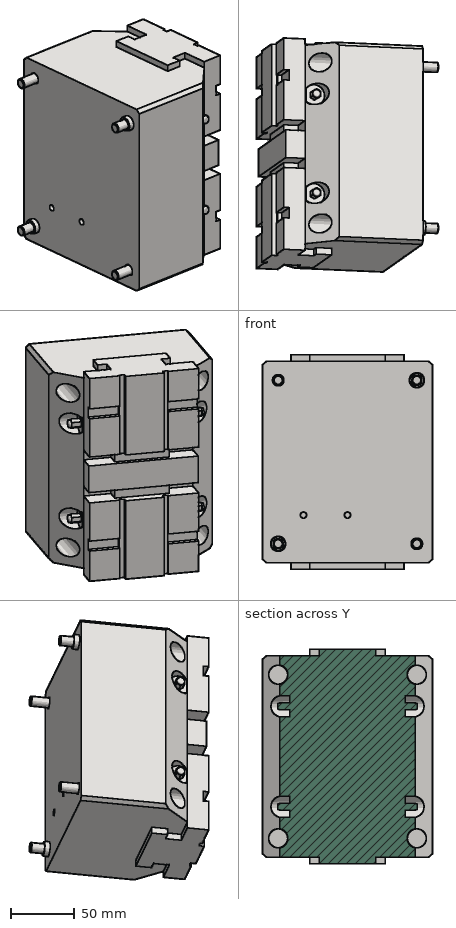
import cadquery as cq


body_width = 135.0
body_height = 160.0
body_depth = 91.0
rail_width = 90.0
flank_setback = (body_width - rail_width) / 2
corner_chamfer_x = 3.0
corner_chamfer_z = 2.9

overall_height = 170.4
back_y = 111.0
ridge_width = 31.7
ridge_height = 2.7
ridge_groove_width = 4.1
ridge_groove_depth = 1.5
neck_width = 45.0
foot_width = 60.0
foot_thickness = 12.8
neck_length = foot_thickness
rail_gap = 38.5
shoulder_y = back_y - ridge_height

notch_height = 8.3
notch_depth = 4.5
notch_z = 55.5

filler_y = 102.5
stop_y = 106.7
stop_height = 22.3

screw_x = 55.0
screw_z = 64.9
screw_diameter = 8.0
screw_length = 15.0
screw_tip_chamfer = 0.7
clearance_diameter = 9.0
clearance_depth = 15.0
head_bore_diameter = 15.0
head_bore_floor_y = 34.0

sleeve_diameter = 12.0
sleeve_tip_diameter = 11.0
sleeve_length = 4.1
sleeve_straight_length = 2.7

indicator_diameter = 5.0
indicator_depth = 8.5
indicator_xs = (-35.0, 0.0)
indicator_z = -42.0

button_y = 83.7
button_z = 39.9
spot_diameter = 16.9
spot_face_x = 45.8
hex_corner_diameter = 7.7
hex_end_x = 53.7
dome_diameter = 6.5
dome_tip_diameter = 4.1
dome_end_x = 55.7

signs = (1, -1)


def box(width, y_start, y_end, height, x=0.0, z=0.0):
    """Box centred on x and z, reaching from y_start to y_end."""
    depth = y_end - y_start
    return cq.Workplane("XY").box(width, depth, height).translate((x, y_start + depth / 2, z))


def rod_y(diameter, y_start, y_end, x, z):
    """Cylinder along Y."""
    axis_start = cq.Vector(x, y_start, z)
    return cq.Workplane(cq.Solid.makeCylinder(diameter / 2, y_end - y_start, axis_start, cq.Vector(0, 1, 0)))


def make_body():
    half_width = body_width / 2
    half_height = body_height / 2
    plan = [
        (-half_width, 0),
        (half_width, 0),
        (half_width, body_depth - flank_setback),
        (rail_width / 2, body_depth),
        (-rail_width / 2, body_depth),
        (-half_width, body_depth - flank_setback),
    ]
    block = cq.Workplane("XY").polyline(plan).close().extrude(half_height, both=True)
    for side in signs:
        for end in signs:
            corner = [
                (side * half_width, end * half_height),
                (side * (half_width - corner_chamfer_x), end * half_height),
                (side * half_width, end * (half_height - corner_chamfer_z)),
            ]
            block = block.cut(cq.Workplane("XZ").polyline(corner).close().extrude(-body_depth))
    return block


def make_rails():
    neck_y = body_depth - neck_length
    rails = box(rail_width, body_depth, shoulder_y, overall_height)
    rails = rails.union(box(ridge_width, body_depth, back_y, overall_height))
    rails = rails.union(box(neck_width, neck_y, body_depth, overall_height))
    rails = rails.union(box(foot_width, neck_y - foot_thickness, neck_y, overall_height))
    groove_x = (ridge_width + ridge_groove_width) / 2
    groove_outer_x = ridge_width / 2 + ridge_groove_width
    notch_length = rail_width / 2 - groove_outer_x
    notch_x = groove_outer_x + notch_length / 2
    groove_floor_y = shoulder_y - ridge_groove_depth
    notch_floor_y = shoulder_y - notch_depth
    for side in signs:
        groove = box(ridge_groove_width, groove_floor_y, shoulder_y, overall_height, side * groove_x)
        rails = rails.cut(groove)
        for end in signs:
            notch = box(notch_length, notch_floor_y, shoulder_y, notch_height, side * notch_x, end * notch_z)
            rails = rails.cut(notch)
    return rails.cut(box(rail_width, body_depth, back_y, rail_gap))


def make_stop():
    filler = box(neck_width, body_depth, filler_y, rail_gap)
    return filler.union(box(rail_width, body_depth, stop_y, stop_height))


def add_mounting_screw(part, x, z, has_sleeve):
    part = part.cut(rod_y(head_bore_diameter, head_bore_floor_y, back_y, x, z))
    if has_sleeve:
        sleeve = rod_y(sleeve_diameter, -sleeve_length, 0, x, z)
        tip_inset = (sleeve_diameter - sleeve_tip_diameter) / 2
        tip_length = sleeve_length - sleeve_straight_length
        part = part.union(sleeve.faces("<Y").chamfer(tip_length, tip_inset))
    else:
        part = part.cut(rod_y(clearance_diameter, 0, clearance_depth, x, z))
    shank = rod_y(screw_diameter, -screw_length, clearance_depth, x, z)
    return part.union(shank.faces("<Y").chamfer(screw_tip_chamfer))


def add_button(part, side, z):
    plane = cq.Plane(origin=(side * spot_face_x, button_y, z), xDir=(0, 0, 1), normal=(side, 0, 0))
    pocket = cq.Workplane(plane).circle(spot_diameter / 2).extrude(body_width / 2 - spot_face_x)
    hexagon = cq.Workplane(plane).polygon(6, hex_corner_diameter).extrude(hex_end_x - spot_face_x)
    dome_radius = (dome_diameter - dome_tip_diameter) / 2
    dome = cq.Workplane(plane).circle(dome_diameter / 2).extrude(dome_end_x - spot_face_x)
    dome = dome.faces(">X" if side > 0 else "<X").edges().fillet(dome_radius)
    return part.cut(pocket).union(hexagon).union(dome)


result = make_body().union(make_rails()).union(make_stop())
for side in signs:
    for end in signs:
        result = add_mounting_screw(result, side * screw_x, end * screw_z, has_sleeve=side == end)
        result = add_button(result, side, end * button_z)
for x in indicator_xs:
    result = result.cut(rod_y(indicator_diameter, 0, indicator_depth, x, indicator_z))